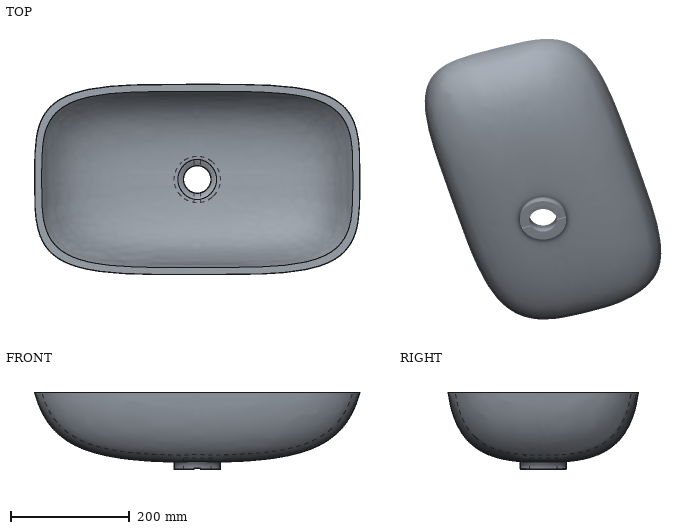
import cadquery as cq

rim_length = 547.96
rim_width = 320.9
total_height = 129.72
wall = 12.0

stub_height = 12.2
bowl_depth = total_height - stub_height
seam_half_width = 10.7

wall_drop = 93.0
end_lean = 25.0
side_lean = 13.0
end_floor_reach = 178.0
side_floor_reach = 96.0
section_count = 9
last_section = 0.97

rim_handle_x = 0.60
rim_handle_y = 0.55
rim_corner_x = 1.00
rim_corner_y = 1.01
round_handle = 0.414
round_corner = 0.776

stub_diameter = 78.0
bore_diameter = 46.0
drain_mouth_diameter = 65.0
drain_cone_depth = 5.2
cut_overshoot = 1.0
stub_slot_width = 10.8
stub_slot_depth = 2.0


def bezier(p0, p1, p2, p3, t):
    """Value of a one-dimensional cubic Bezier at parameter t."""
    s = 1 - t
    return s**3 * p0 + 3 * s**2 * t * p1 + 3 * s * t**2 * p2 + t**3 * p3


def blend(start, end, t):
    """Linear change from start to end as t runs from 0 to 1."""
    return start + (end - start) * t


def section_wire(half_x, half_y, z, t):
    """Closed outline at profile parameter t: four short straight bands joined by four Bezier corners."""
    band = seam_half_width
    handle_x = blend(band, half_x, blend(rim_handle_x, round_handle, t))
    handle_y = blend(band, half_y, blend(rim_handle_y, round_handle, t))
    corner_x = blend(band, half_x, blend(rim_corner_x, round_corner, t))
    corner_y = blend(band, half_y, blend(rim_corner_y, round_corner, t))
    corner = [
        (half_x, band),
        (half_x, handle_y),
        (corner_x, corner_y),
        (handle_x, half_y),
        (band, half_y),
    ]
    corners = []
    for sign_x, sign_y in ((1, 1), (-1, 1), (-1, -1), (1, -1)):
        points = [cq.Vector(sign_x * x, sign_y * y, z) for x, y in corner]
        if sign_x * sign_y < 0:
            points.reverse()
        corners.append(points)
    edges = []
    for points, following in zip(corners, corners[1:] + corners[:1]):
        edges.append(cq.Edge.makeBezier(points))
        edges.append(cq.Edge.makeLine(points[-1], following[0]))
    return cq.Wire.assembleEdges(edges)


def bowl_solid(inset):
    """Solid enclosed by the bowl surface, moved inward and upward by inset."""
    depth = bowl_depth - inset
    half_length = rim_length / 2 - inset
    half_width = rim_width / 2 - inset
    sections = []
    for index in range(section_count):
        t = last_section * index / (section_count - 1)
        drop = bezier(0, wall_drop - inset / 2, depth, depth, t)
        half_x = bezier(half_length, half_length - end_lean, end_floor_reach - inset, seam_half_width, t)
        half_y = bezier(half_width, half_width - side_lean, side_floor_reach - inset, seam_half_width, t)
        sections.append(section_wire(half_x, half_y, total_height - drop, t))
    return cq.Workplane(cq.Solid.makeLoft(sections))


def drain_stub():
    """Short tube under the bowl, reaching up into the floor, with a slot across its end."""
    stub = cq.Workplane().circle(stub_diameter / 2).extrude(stub_height + wall / 2)
    slot = cq.Workplane().box(stub_slot_width, stub_diameter, 2 * stub_slot_depth)
    return stub.cut(slot)


def drain_opening():
    """Through bore with a conical mouth at the bowl floor."""
    mouth_base = stub_height + wall - drain_cone_depth
    bore_radius = bore_diameter / 2
    cone_slope = (drain_mouth_diameter / 2 - bore_radius) / drain_cone_depth
    cone_height = drain_cone_depth + cut_overshoot
    profile = [
        (0, 0),
        (bore_radius, 0),
        (bore_radius, mouth_base),
        (bore_radius + cone_slope * cone_height, mouth_base + cone_height),
        (0, mouth_base + cone_height),
    ]
    return cq.Workplane("XZ").polyline(profile).close().revolve(360, (0, 0, 0), (0, 1, 0))


result = bowl_solid(0).union(drain_stub()).cut(bowl_solid(wall)).cut(drain_opening())